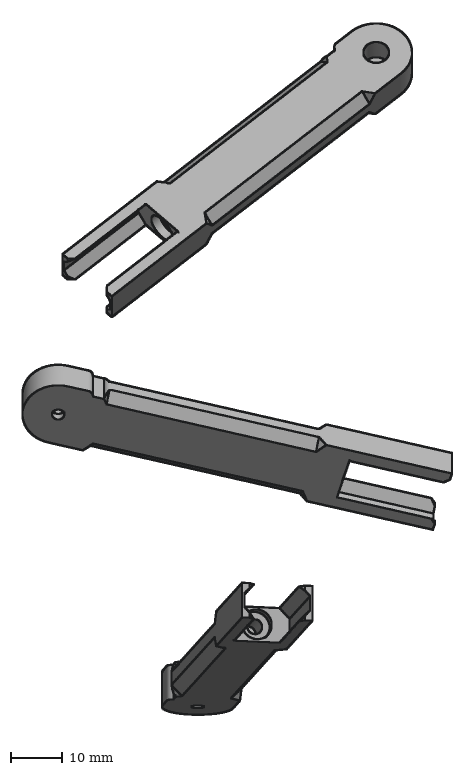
import cadquery as cq
import math

length = 85.0
width = 14.0
thickness = 7.0
half_width = width / 2
half_thickness = thickness / 2
eye_end_y = length / 2
fork_end_y = -length / 2
eye_center_y = eye_end_y - half_width

pivot_bore_diameter = 2.4
pivot_counterbore_diameter = 5.0
pivot_counterbore_depth = 5.1

chamfer_leg = 2.1
chamfer_depth = chamfer_leg / math.sqrt(2)
chamfer_top_y = eye_end_y - 15.5
chamfer_bottom_y = eye_end_y - 58.0

notch_depth = 1.0
notch_end_radius = 1.3
notch_top_y = eye_end_y - 11.1
notch_bottom_y = eye_end_y - 15.9

slot_depth = 20.15
slot_opening = 9.0
slot_inner_width = 13.1
slot_inner_height = 2.8
slot_end_y = fork_end_y + slot_depth
prong_tip_chamfer = 1.0

axial_hole_diameter = 3.0
axial_hole_depth = 8.5
axial_counterbore_diameter = 5.95
axial_counterbore_depth = 2.1


def make_blank():
    """Flat bar with a full-round eye end."""
    return (
        cq.Workplane("XY", origin=(0, 0, -half_thickness))
        .moveTo(-half_width, fork_end_y)
        .lineTo(half_width, fork_end_y)
        .lineTo(half_width, eye_center_y)
        .threePointArc((0, eye_end_y), (-half_width, eye_center_y))
        .close()
        .extrude(thickness)
    )


def make_fork_slot():
    """Octagonal channel that leaves a grooved prong on each side."""
    half_opening = slot_opening / 2
    half_inner = slot_inner_width / 2
    half_height = slot_inner_height / 2
    profile = [
        (half_opening, half_thickness),
        (half_inner, half_height),
        (half_inner, -half_height),
        (half_opening, -half_thickness),
        (-half_opening, -half_thickness),
        (-half_inner, -half_height),
        (-half_inner, half_height),
        (-half_opening, half_thickness),
    ]
    return cq.Workplane("XZ", origin=(0, slot_end_y, 0)).polyline(profile).close().extrude(slot_depth)


def make_tip_cut():
    """Flared mouth that bevels the inner corners of both prong tips."""
    half_opening = slot_opening / 2
    half_mouth = half_opening + prong_tip_chamfer
    profile = [
        (-half_mouth, fork_end_y),
        (half_mouth, fork_end_y),
        (half_opening, fork_end_y + prong_tip_chamfer),
        (-half_opening, fork_end_y + prong_tip_chamfer),
    ]
    return (
        cq.Workplane("XY", origin=(0, 0, -half_thickness))
        .polyline(profile)
        .close()
        .extrude(thickness)
    )


def make_edge_chamfer(x_side, z_side):
    """Chamfer cutter for one long edge, with 45 degree run-outs at both ends."""
    edge_plane = cq.Plane(
        origin=(x_side * half_width, 0, z_side * half_thickness),
        xDir=(0, 1, 0),
        normal=(x_side, 0, -z_side),
    )
    inward = -1 if edge_plane.yDir.x * x_side > 0 else 1
    profile = [
        (chamfer_bottom_y - chamfer_depth, 0),
        (chamfer_top_y + chamfer_depth, 0),
        (chamfer_top_y, inward * chamfer_depth),
        (chamfer_bottom_y, inward * chamfer_depth),
    ]
    return cq.Workplane(edge_plane).polyline(profile).close().extrude(chamfer_leg, both=True)


def make_notch():
    """Flank notch whose two ends round over into the outer wall."""
    floor_x = -half_width + notch_depth
    arc_center_x = -half_width + notch_end_radius
    sweep = math.acos(1 - notch_depth / notch_end_radius)
    arc_length_y = notch_end_radius * math.sin(sweep)
    middle_x = arc_center_x - notch_end_radius * math.cos(sweep / 2)
    middle_y_offset = notch_end_radius * math.sin(sweep / 2)
    return (
        cq.Workplane("XY", origin=(0, 0, -half_thickness))
        .moveTo(-half_width, notch_top_y)
        .threePointArc((middle_x, notch_top_y - middle_y_offset), (floor_x, notch_top_y - arc_length_y))
        .lineTo(floor_x, notch_bottom_y + arc_length_y)
        .threePointArc((middle_x, notch_bottom_y + middle_y_offset), (-half_width, notch_bottom_y))
        .close()
        .extrude(thickness)
    )


def make_stepped_hole(plane, origin, bore, bore_depth, counterbore, counterbore_depth):
    """Bore with a counterbore, both cut against the plane's normal from its origin."""
    start = cq.Workplane(plane, origin=origin)
    wide = start.circle(counterbore / 2).extrude(-counterbore_depth)
    narrow = start.circle(bore / 2).extrude(-bore_depth)
    return wide.union(narrow)


result = make_blank().cut(make_fork_slot()).cut(make_tip_cut()).cut(make_notch())

for x_side in (-1, 1):
    for z_side in (-1, 1):
        result = result.cut(make_edge_chamfer(x_side, z_side))

pivot_hole = make_stepped_hole(
    "XY",
    (0, eye_center_y, half_thickness),
    pivot_bore_diameter,
    thickness,
    pivot_counterbore_diameter,
    pivot_counterbore_depth,
)
axial_hole = make_stepped_hole(
    "XZ",
    (0, slot_end_y, 0),
    axial_hole_diameter,
    axial_hole_depth,
    axial_counterbore_diameter,
    axial_counterbore_depth,
)
result = result.cut(pivot_hole).cut(axial_hole)